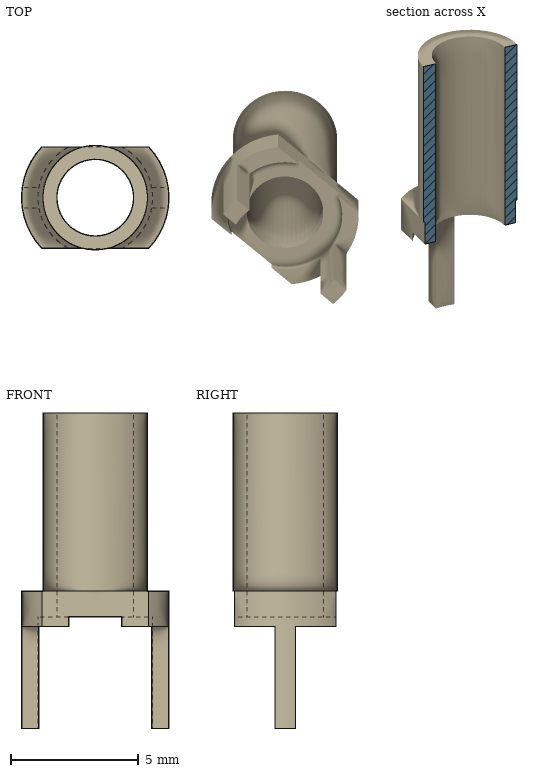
import cadquery as cq

total_height = 12.4
tube_diameter = 4.1
bore_diameter = 3.0
tube_height = 7.0

flange_diameter = 5.79
flange_depth = 3.99
pin_length = 4.0
flange_top = total_height - tube_height
flange_height = flange_top - pin_length

recess_diameter = 4.5
recess_height = 0.38

pin_depth = 0.8


def make_disc(diameter, bottom, height):
    return cq.Workplane("XY").workplane(offset=bottom).circle(diameter / 2).extrude(height)


def make_bar(depth, bottom, height):
    """Block along X, as long as the flange and centred on the Z axis."""
    return cq.Workplane("XY").workplane(offset=bottom).rect(flange_diameter, depth).extrude(height)


def make_flange():
    disc = make_disc(flange_diameter, pin_length, flange_height)
    return disc.intersect(make_bar(flange_depth, pin_length, flange_height))


def make_pins():
    disc = make_disc(flange_diameter, 0, pin_length)
    return disc.intersect(make_bar(pin_depth, 0, pin_length))


tube = make_disc(tube_diameter, flange_top, tube_height)

recess = make_disc(recess_diameter, 0, pin_length + recess_height)
bore = make_disc(bore_diameter, 0, total_height)

result = make_flange().union(make_pins()).union(tube).cut(recess).cut(bore)